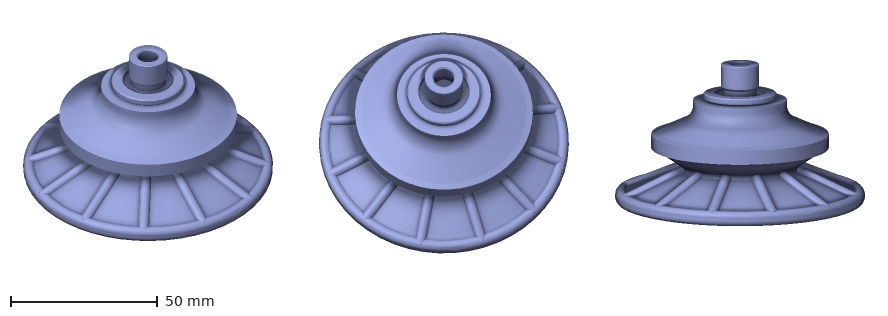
import cadquery as cq
import math

overall_radius = 42.6
overall_height = 48.5

rim_top = 5.1
rim_rounding = 2.05
rim_inner_radius = 39.1
lip_cone_bottom_radius = 37.3
lip_cone_bottom = 5.1
lip_cone_top_radius = 21.2
lip_cone_top = 11.85

waist_radius = 21.1
waist_top = 13.8

band_radius = 30.35
band_bottom = 19.3
band_top = 24.1
bevel_radius = 28.2
lower_bevel_height = 18.75
upper_bevel_height = 24.8

shoulder_radius = 19.3
shoulder_height = 29.0
collar_radius = 16.0
collar_straight_bottom = 34.4
cup_top = 36.1

rib_count = 12
rib_radius = 1.92
rib_sink = 0.3
rib_start_radius = 19.6
rib_end_radius = 41.0

flange_radius = 12.45
flange_top = 38.5
flange_chamfer = 0.4
recess_radius = 17.5 / 2
recess_floor = 37.0
recess_corner_chamfer = 0.4

stud_radius = 13.1 / 2
stud_chamfer = 0.25
stud_bottom = 40.6
neck_radius = 11.4 / 2
neck_top = stud_bottom - (stud_radius - neck_radius)
bore_radius = 7.0 / 2
bore_chamfer = 0.5
bore_floor = stud_bottom


def revolve_about_z(profile):
    """Solid of revolution of a closed profile drawn in the XZ plane."""
    return profile.revolve(360, (0, 0, 0), (0, 1, 0))


def make_cup_body():
    """Lip, waist, bellows fold, shoulder and collar as one turned shape."""
    rim_center_radius = overall_radius - rim_rounding
    rim_upper_center = rim_top - rim_rounding
    rim_inner_height = rim_upper_center + math.sqrt(
        rim_rounding**2 - (rim_center_radius - rim_inner_radius) ** 2
    )
    diagonal = rim_rounding * math.sqrt(0.5)
    profile = (
        cq.Workplane("XZ")
        .lineTo(rim_center_radius, 0)
        .threePointArc(
            (rim_center_radius + diagonal, rim_rounding - diagonal),
            (overall_radius, rim_rounding),
        )
        .lineTo(overall_radius, rim_upper_center)
        .threePointArc((rim_center_radius, rim_top), (rim_inner_radius, rim_inner_height))
        .lineTo(lip_cone_bottom_radius, lip_cone_bottom)
        .lineTo(lip_cone_top_radius, lip_cone_top)
        .tangentArcPoint((waist_radius, waist_top), relative=False)
        .lineTo(bevel_radius, lower_bevel_height)
        .lineTo(band_radius, band_bottom)
        .lineTo(band_radius, band_top)
        .lineTo(bevel_radius, upper_bevel_height)
        .lineTo(shoulder_radius, shoulder_height)
        .tangentArcPoint((collar_radius, collar_straight_bottom), relative=False)
        .lineTo(collar_radius, cup_top)
        .lineTo(0, cup_top)
        .close()
    )
    return revolve_about_z(profile)


def make_rib():
    """Round rib parallel to the lip cone and about half sunk in it, along +X."""
    slope = (lip_cone_top - lip_cone_bottom) / (lip_cone_bottom_radius - lip_cone_top_radius)
    start_height = lip_cone_top + slope * (lip_cone_top_radius - rib_start_radius) - rib_sink
    start = cq.Vector(rib_start_radius, 0, start_height)
    direction = cq.Vector(1, 0, -slope)
    length = (rib_end_radius - rib_start_radius) * math.hypot(1, slope)
    return cq.Workplane(cq.Solid.makeCylinder(rib_radius, length, start, direction))


def make_cup():
    """Cup body with its ring of ribs."""
    cup = make_cup_body()
    rib = make_rib()
    for i in range(rib_count):
        cup = cup.union(rib.rotate((0, 0, 0), (0, 0, 1), i * 360 / rib_count))
    return cup


def make_fitting():
    """Turned fitting that stands on the cup: flange, recess, neck and bored stud."""
    recess_corner_top = recess_floor + recess_corner_chamfer
    profile = (
        cq.Workplane("XZ")
        .moveTo(0, cup_top)
        .lineTo(flange_radius - flange_chamfer, cup_top)
        .lineTo(flange_radius, cup_top + flange_chamfer)
        .lineTo(flange_radius, flange_top - flange_chamfer)
        .lineTo(flange_radius - flange_chamfer, flange_top)
        .lineTo(recess_radius, flange_top)
        .lineTo(recess_radius, recess_corner_top)
        .lineTo(recess_radius - recess_corner_chamfer, recess_floor)
        .lineTo(neck_radius + recess_corner_chamfer, recess_floor)
        .lineTo(neck_radius, recess_corner_top)
        .lineTo(neck_radius, neck_top)
        .lineTo(stud_radius, stud_bottom)
        .lineTo(stud_radius, overall_height - stud_chamfer)
        .lineTo(stud_radius - stud_chamfer, overall_height)
        .lineTo(bore_radius + bore_chamfer, overall_height)
        .lineTo(bore_radius, overall_height - bore_chamfer)
        .lineTo(bore_radius, bore_floor)
        .lineTo(0, bore_floor)
        .close()
    )
    return revolve_about_z(profile)


cup = make_cup()
fitting = make_fitting()

result = cq.Compound.makeCompound([cup.val(), fitting.val()])